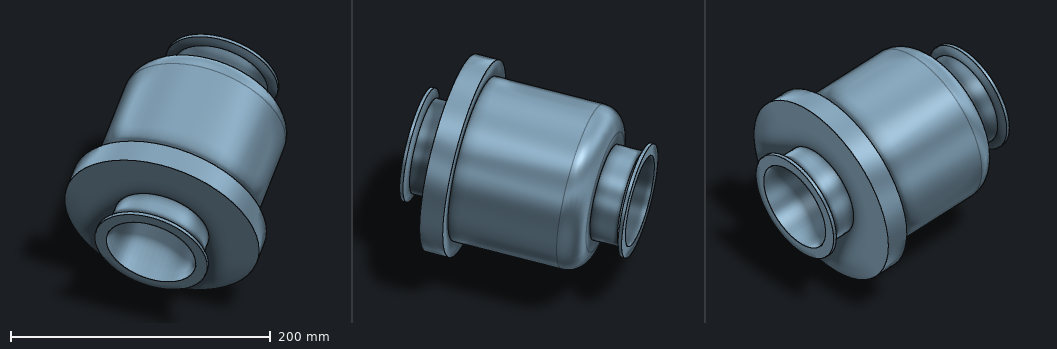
import cadquery as cq

bore_diameter = 72.4
tube_diameter = 76.3
ferrule_diameter = 91.0
body_diameter = 131.5
flange_diameter = 157.5

total_length = 180.0
ferrule_rim_thickness = 1.6
ferrule_taper_length = 1.6
flange_start = 27.0
flange_thickness = 18.9
body_end = 152.0
shoulder_radius = 18.0

body_start = flange_start + flange_thickness


def cylinder(diameter, start, end):
    """Solid cylinder along +Y between two positions."""
    plane = cq.Workplane("XZ", origin=(0, start, 0))
    return plane.circle(diameter / 2).extrude(start - end)


def ferrule(end_face, inward):
    """Clamp ferrule: a thin rim tapering to the tube; inward is +1 or -1 along Y."""
    rim_back = end_face + inward * ferrule_rim_thickness
    taper_end = rim_back + inward * ferrule_taper_length
    profile = [
        (0, end_face),
        (ferrule_diameter / 2, end_face),
        (ferrule_diameter / 2, rim_back),
        (tube_diameter / 2, taper_end),
        (0, taper_end),
    ]
    return cq.Workplane("XY").polyline(profile).close().revolve(360, (0, 0, 0), (0, 1, 0))


body = cylinder(body_diameter, body_start, body_end).faces(">Y").edges().fillet(shoulder_radius)
flange = cylinder(flange_diameter, flange_start, body_start)
tube = cylinder(tube_diameter, 0, total_length)
bore = cylinder(bore_diameter, 0, total_length)

result = (
    tube.union(body)
    .union(flange)
    .union(ferrule(0, 1.8))
    .union(ferrule(total_length, -1.8))
    .cut(bore)
)